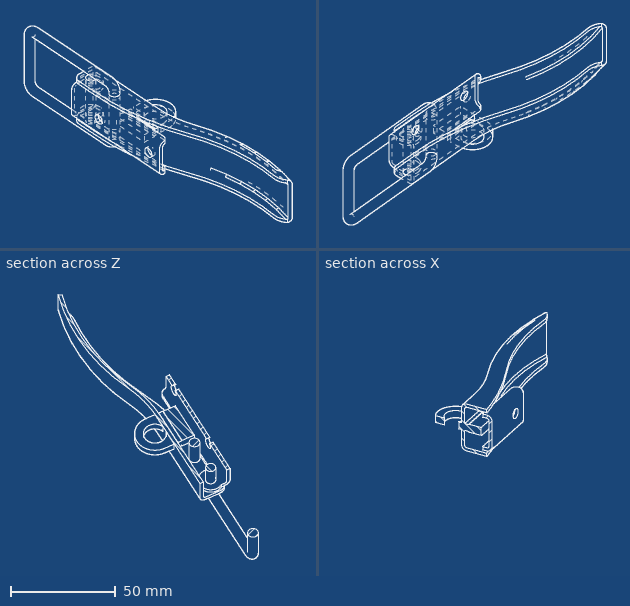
import cadquery as cq
import math


ROD_DIA = 5.35
BAIL_LENGTH = 65.0
BAIL_HEIGHT = 41.35
BAIL_BEND = 4.0
BAIL_LEFT = -45.8

HANDLE_WIDTH = 26.0
HANDLE_WALL = 2.0
HANDLE_BEND = 3.0
HANDLE_LEFT = -6.0
HANDLE_TOP = 9.0
HANDLE_BOTTOM = -6.0
HANDLE_CORNER = 4.0
TOP_BEND_START = 37.8
TOP_INFLECTION = 59.6
TOP_BEND_ANGLE = 22.4
TOP_CREST_RADIUS = 98.5
TIP_X = 123.27
EDGE_BEND_START = 10.2
EDGE_INFLECTION = 63.2
EDGE_BEND_ANGLE = 23.3
EDGE_CREST_RADIUS = 103.6
EDGE_END = 115.0
TIP_SLANT_LENGTH = 2.4
TIP_SLANT_ANGLE = 58.0
TIP_CORNER = 10.0
VOID_OVERRUN = 5.0

EYE_X = 30.0
EYE_TOP = 24.0
EYE_RADIUS = 9.75
EYE_HOLE_DIA = 11.0
EYE_THICKNESS = 4.0
EYE_FOOT_THICKNESS = 4.6
EYE_FOOT_TOP = 4.8
EYE_FOOT_BOTTOM = -2.0

BASE_WIDTH = 20.0
BASE_WALL = 2.0
BASE_BEND = 3.0
BASE_LEFT = -5.0
BASE_LENGTH = 62.0
BASE_BOTTOM = -8.0
BASE_LEG_HEIGHT = 5.3
BASE_LEG_CORNER = 3.0
EAR_RADIUS = 6.0
MOUNT_HOLE_DIA = 5.0
MOUNT_HOLE_XS = (14.1, 49.1)

PIN_DIA = 5.0
PIN_DOME_HEIGHT = 1.5

BAIL_ROD_X = BAIL_LEFT + BAIL_LENGTH - ROD_DIA / 2
BASE_INSIDE = BASE_WIDTH - 2 * BASE_WALL
HANDLE_INSIDE = HANDLE_WIDTH - 2 * HANDLE_WALL


def z_cylinder(x, y, diameter, length):
    """Cylinder along Z, centred on the Z = 0 plane."""
    return cq.Workplane("XY").center(x, y).circle(diameter / 2).extrude(length / 2, both=True)


def circle_point(centre, radius, degrees):
    angle = math.radians(degrees)
    return (centre[0] + radius * math.cos(angle), centre[1] + radius * math.sin(angle))


def s_bend(start, inflection_x, angle, crest_radius):
    """Upward arc tangent to +X at `start`, then a crest arc.

    Returns the valley arc's centre and radius and the crest arc's centre.
    """
    turn = math.radians(angle)
    valley_radius = (inflection_x - start[0]) / math.sin(turn)
    valley_centre = (start[0], start[1] + valley_radius)
    crest_centre = circle_point(valley_centre, valley_radius + crest_radius, angle - 90)
    return valley_centre, valley_radius, crest_centre


def crest_point_at(centre, radius, x):
    return (x, centre[1] + math.sqrt(radius**2 - (x - centre[0]) ** 2))


def top_curve(depth, end_x):
    """Points of the web's S-curve lying `depth` below its top face, from the straight part to `end_x`."""
    valley_centre, valley_radius, crest_centre = s_bend(
        (TOP_BEND_START, HANDLE_TOP), TOP_INFLECTION, TOP_BEND_ANGLE, TOP_CREST_RADIUS
    )
    valley = valley_radius + depth
    crest = TOP_CREST_RADIUS - depth
    return {
        "start": (TOP_BEND_START, HANDLE_TOP - depth),
        "valley_mid": circle_point(valley_centre, valley, TOP_BEND_ANGLE / 2 - 90),
        "inflection": circle_point(valley_centre, valley, TOP_BEND_ANGLE - 90),
        "crest": (crest_centre[0], crest_centre[1] + crest),
        "end": crest_point_at(crest_centre, crest, end_x),
    }


def start_top_outline(depth, left_x, end_x):
    """Open outline running along the web, `depth` below its top face."""
    top = top_curve(depth, end_x)
    return (
        cq.Workplane("XY")
        .moveTo(left_x, HANDLE_TOP - depth)
        .lineTo(*top["start"])
        .threePointArc(top["valley_mid"], top["inflection"])
        .threePointArc(top["crest"], top["end"])
    )


def round_top_edges(body, top_y, width, radius):
    """Round both long top edges; each runs tangentially from the straight part to the tip."""
    for side in (-1, 1):
        straight_edge = cq.NearestToPointSelector((TOP_BEND_START / 2, top_y, side * width / 2))
        body = body.edges(straight_edge).fillet(radius)
    return body


def handle_blank():
    """Side outline of the handle over its full width, with the two long top edges rounded."""
    tip = top_curve(0, TIP_X)["end"]
    edge_start = (EDGE_BEND_START, HANDLE_BOTTOM)
    valley_centre, valley_radius, crest_centre = s_bend(
        edge_start, EDGE_INFLECTION, EDGE_BEND_ANGLE, EDGE_CREST_RADIUS
    )
    slant_end = circle_point(tip, TIP_SLANT_LENGTH, TIP_SLANT_ANGLE - 180)
    edge_end = crest_point_at(crest_centre, EDGE_CREST_RADIUS, EDGE_END)
    edge_crest = (crest_centre[0], crest_centre[1] + EDGE_CREST_RADIUS)
    edge_inflection = circle_point(valley_centre, valley_radius, EDGE_BEND_ANGLE - 90)
    edge_valley_mid = circle_point(valley_centre, valley_radius, EDGE_BEND_ANGLE / 2 - 90)
    blank = (
        start_top_outline(0, HANDLE_LEFT, TIP_X)
        .lineTo(*slant_end)
        .radiusArc(edge_end, TIP_CORNER)
        .threePointArc(edge_crest, edge_inflection)
        .threePointArc(edge_valley_mid, edge_start)
        .lineTo(HANDLE_LEFT + HANDLE_CORNER, HANDLE_BOTTOM)
        .radiusArc((HANDLE_LEFT, HANDLE_BOTTOM + HANDLE_CORNER), HANDLE_CORNER)
        .close()
        .extrude(HANDLE_WIDTH / 2, both=True)
    )
    return round_top_edges(blank, HANDLE_TOP, HANDLE_WIDTH, HANDLE_BEND)


def handle_void():
    """Space inside the channel, one wall thickness in from the web and the sides, open at both ends."""
    void = (
        start_top_outline(HANDLE_WALL, HANDLE_LEFT - VOID_OVERRUN, TIP_X + VOID_OVERRUN)
        .lineTo(TIP_X + VOID_OVERRUN, HANDLE_BOTTOM - VOID_OVERRUN)
        .lineTo(HANDLE_LEFT - VOID_OVERRUN, HANDLE_BOTTOM - VOID_OVERRUN)
        .close()
        .extrude(HANDLE_INSIDE / 2, both=True)
    )
    return round_top_edges(void, HANDLE_TOP - HANDLE_WALL, HANDLE_INSIDE, HANDLE_BEND - HANDLE_WALL)


def eye_plate():
    """Upright plate with a round top, ending in a thicker foot inside the handle."""
    centre_y = EYE_TOP - EYE_RADIUS
    foot_height = EYE_FOOT_TOP - EYE_FOOT_BOTTOM
    left = EYE_X - EYE_RADIUS
    right = EYE_X + EYE_RADIUS
    plate = (
        cq.Workplane("XY")
        .moveTo(left, EYE_FOOT_BOTTOM)
        .lineTo(right, EYE_FOOT_BOTTOM)
        .lineTo(right, centre_y)
        .threePointArc((EYE_X, EYE_TOP), (left, centre_y))
        .close()
        .extrude(EYE_THICKNESS / 2, both=True)
    )
    foot = (
        cq.Workplane("XY")
        .box(2 * EYE_RADIUS, foot_height, EYE_FOOT_THICKNESS)
        .translate((EYE_X, EYE_FOOT_TOP - foot_height / 2, 0))
    )
    return plate.union(foot)


def make_handle():
    eye_hole = z_cylinder(EYE_X, EYE_TOP - EYE_RADIUS, EYE_HOLE_DIA, EYE_THICKNESS)
    return (
        handle_blank()
        .cut(handle_void())
        .union(eye_plate().cut(eye_hole))
        .cut(z_cylinder(0, 0, PIN_DIA, HANDLE_WIDTH))
        .cut(z_cylinder(BAIL_ROD_X, 0, ROD_DIA, HANDLE_WIDTH))
    )


def make_bail():
    """Round rod bent into a closed rectangle."""
    left = BAIL_LEFT + ROD_DIA / 2
    right = BAIL_ROD_X
    top = (BAIL_HEIGHT - ROD_DIA) / 2
    side = top - BAIL_BEND
    path = (
        cq.Workplane("XZ")
        .moveTo(left, 0)
        .lineTo(left, side)
        .radiusArc((left + BAIL_BEND, top), BAIL_BEND)
        .lineTo(right - BAIL_BEND, top)
        .radiusArc((right, side), BAIL_BEND)
        .lineTo(right, -side)
        .radiusArc((right - BAIL_BEND, -top), BAIL_BEND)
        .lineTo(left + BAIL_BEND, -top)
        .radiusArc((left, -side), BAIL_BEND)
        .close()
    )
    return cq.Workplane("XY").center(left, 0).circle(ROD_DIA / 2).sweep(path)


def make_base():
    """Channel opening toward +Y, with round ears for the pin and two mounting holes."""
    middle = (BASE_LEFT + BASE_LENGTH / 2, BASE_BOTTOM + BASE_LEG_HEIGHT / 2, 0)
    channel = cq.Workplane("XY").box(BASE_LENGTH, BASE_LEG_HEIGHT, BASE_WIDTH).translate(middle)
    channel = channel.edges("|X and <Y").fillet(BASE_BEND)
    channel = channel.edges("|Z and >X and >Y").fillet(BASE_LEG_CORNER)
    bend_top = BASE_BOTTOM + BASE_BEND
    above_bend = (
        cq.Workplane("XY")
        .box(2 * EAR_RADIUS, EAR_RADIUS - bend_top, BASE_WIDTH)
        .translate((0, (EAR_RADIUS + bend_top) / 2, 0))
    )
    ears = z_cylinder(0, 0, 2 * EAR_RADIUS, BASE_WIDTH).intersect(above_bend)
    void_height = EAR_RADIUS - BASE_BOTTOM
    void = (
        cq.Workplane("XY")
        .box(BASE_LENGTH + 2 * EAR_RADIUS, void_height, BASE_INSIDE)
        .translate((middle[0], BASE_BOTTOM + BASE_WALL + void_height / 2, 0))
        .edges("|X and <Y")
        .fillet(BASE_BEND - BASE_WALL)
    )
    mount_holes = (
        cq.Workplane("XZ", origin=(0, BASE_BOTTOM + BASE_WALL, 0))
        .pushPoints([(x, 0) for x in MOUNT_HOLE_XS])
        .circle(MOUNT_HOLE_DIA / 2)
        .extrude(BASE_WALL)
    )
    return (
        channel.union(ears)
        .cut(void)
        .cut(mount_holes)
        .cut(z_cylinder(0, 0, PIN_DIA, BASE_WIDTH))
    )


def make_pin():
    """Plain pin with a domed head outside each handle wall."""
    radius = PIN_DIA / 2
    head_z = HANDLE_WIDTH / 2
    tip_z = head_z + PIN_DOME_HEIGHT
    dome_radius = (radius**2 + PIN_DOME_HEIGHT**2) / (2 * PIN_DOME_HEIGHT)
    half_outline = (
        cq.Workplane("XZ")
        .lineTo(radius, 0)
        .lineTo(radius, head_z)
        .radiusArc((0, tip_z), -dome_radius)
        .close()
    )
    half = half_outline.revolve(360, (0, 0), (0, 1))
    return half.union(half.mirror("XY"))


bail = make_bail()
handle = make_handle()
base = make_base()
pin = make_pin()

result = cq.Compound.makeCompound([bail.val(), handle.val(), base.val(), pin.val()])